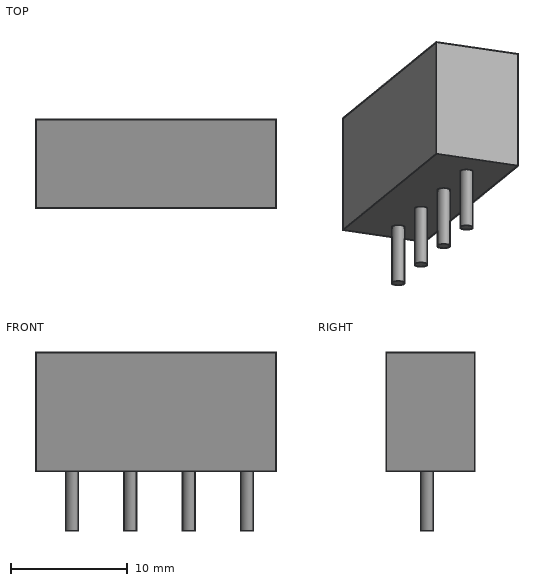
import cadquery as cq

housing_length = 20.6
housing_width = 7.6
housing_height = 10.2

pin_count = 4
pin_pitch = 5.0
pin_diameter = 1.1
pin_length = 5.1

pin_row_offset_x = 0.3
pin_row_offset_y = -0.3


def make_housing():
    """Plain block with its underside on Z = 0, centred on X and Y."""
    return cq.Workplane("XY").box(
        housing_length, housing_width, housing_height, centered=(True, True, False)
    )


def make_pin(x, y):
    """Round pin hanging down from the underside of the housing."""
    return cq.Workplane("XY").center(x, y).circle(pin_diameter / 2).extrude(-pin_length)


housing = make_housing()

first_pin_x = pin_row_offset_x - pin_pitch * (pin_count - 1) / 2
pins = []
for index in range(pin_count):
    pin = make_pin(first_pin_x + index * pin_pitch, pin_row_offset_y)
    pins.append(pin.val())

result = cq.Compound.makeCompound([housing.val(), *pins])